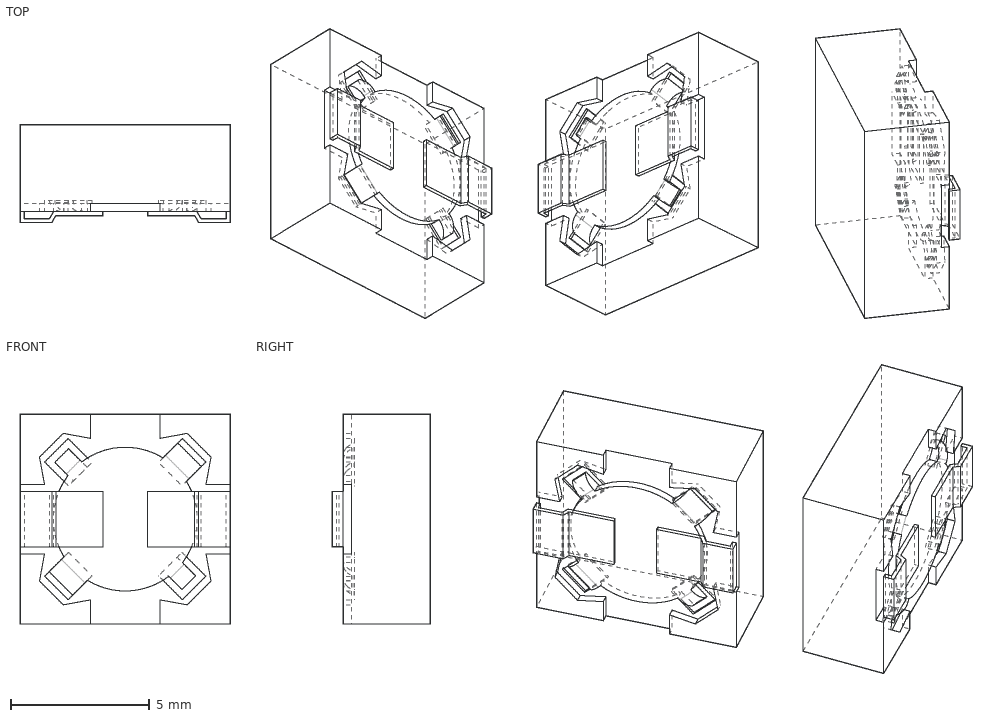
import cadquery as cq
import math


side = 7.6
depth = 3.15
half_side = side / 2
recess_depth = 0.3

channel_half_width = 1.26
channel_inner_end = 2.92
corner_wall_near = 2.24
corner_wall_far = 3.1

disc_radius = 2.6

pit_depth = 0.1
pit_width = 1.2
pit_inner_reach = 2.3
pit_reach = 3.52
lug_flat_reach = 2.66
lug_radius = 0.7
wide_lug_reach = 3.29
narrow_lug_reach = 3.25
wide_lug_width = pit_width
narrow_lug_width = 0.7
wide_lug_angles = (45, 225)
narrow_lug_angles = (135, 315)

strip_thickness = 0.15
strip_width = 2.0
standoff = 0.4
pad_inner_x = 0.81
pad_bend_x = 2.51
bend_angle = math.radians(60)

corner_plane = cq.Plane(origin=(0, 0, 0), xDir=(-1, 0, 0), normal=(0, 1, 0))


def make_recess():
    """Cross-shaped cutter whose inner corners flare out along the diagonals."""
    quarter = [
        (half_side, channel_half_width),
        (channel_inner_end, channel_half_width),
        (corner_wall_far, corner_wall_near),
        (corner_wall_near, corner_wall_far),
        (channel_half_width, channel_inner_end),
        (channel_half_width, half_side),
    ]
    upper = quarter + [(-x, z) for x, z in reversed(quarter)]
    outline = upper + [(-x, -z) for x, z in upper]
    return cq.Workplane(corner_plane).polyline(outline).close().extrude(recess_depth)


def make_pit(angle):
    """Shallow rectangular pit under a lug, at the given angle from +X about the Y axis."""
    return (
        cq.Workplane("XY")
        .box(pit_reach - pit_inner_reach, pit_depth, pit_width, centered=(False, False, True))
        .translate((pit_inner_reach, recess_depth, 0))
        .rotate((0, 0, 0), (0, 1, 0), -angle)
    )


def make_lug(angle, width, reach):
    """Lug running out from the disc, its end rounded over above a low end wall on the pit floor."""
    lug_height = recess_depth + pit_depth
    run = reach - lug_flat_reach
    sweep = math.asin(run / lug_radius)
    arc_middle = (
        lug_flat_reach + lug_radius * math.sin(sweep / 2),
        lug_radius * (1 - math.cos(sweep / 2)),
    )
    arc_end = (reach, lug_radius * (1 - math.cos(sweep)))
    return (
        cq.Workplane("XY")
        .moveTo(pit_inner_reach, 0)
        .lineTo(lug_flat_reach, 0)
        .threePointArc(arc_middle, arc_end)
        .lineTo(reach, lug_height)
        .lineTo(pit_inner_reach, lug_height)
        .close()
        .extrude(width / 2, both=True)
        .rotate((0, 0, 0), (0, 1, 0), -angle)
    )


def make_terminal():
    """Terminal on the +X side: pad on the disc, sloped step, foot, and a short leg at the edge."""
    bend_run = (standoff - strip_thickness) / math.tan(bend_angle)
    bend_shift = strip_thickness * math.tan(bend_angle / 2)
    foot_back = strip_thickness - standoff
    outline = [
        (pad_inner_x, 0),
        (pad_inner_x, -strip_thickness),
        (pad_bend_x, -strip_thickness),
        (pad_bend_x + bend_run, -standoff),
        (half_side, -standoff),
        (half_side, 0),
        (half_side - strip_thickness, 0),
        (half_side - strip_thickness, foot_back),
        (pad_bend_x + bend_run + bend_shift, foot_back),
        (pad_bend_x + bend_shift, 0),
    ]
    return cq.Workplane("XY").polyline(outline).close().extrude(strip_width / 2, both=True)


def make_housing():
    """Square block with the cross-shaped recess and a pit for each lug in its floor."""
    body = cq.Workplane("XY").box(side, depth, side, centered=(True, False, True))
    body = body.cut(make_recess())
    for angle in wide_lug_angles + narrow_lug_angles:
        body = body.cut(make_pit(angle))
    return body


def make_core():
    """Disc on the recess floor with its four lugs and the two terminals on its face."""
    body = cq.Workplane(corner_plane).circle(disc_radius).extrude(recess_depth)
    for angle in wide_lug_angles:
        body = body.union(make_lug(angle, wide_lug_width, wide_lug_reach))
    for angle in narrow_lug_angles:
        body = body.union(make_lug(angle, narrow_lug_width, narrow_lug_reach))
    terminal = make_terminal()
    return body.union(terminal).union(terminal.mirror("YZ"))


housing = make_housing()
core = make_core()

result = cq.Compound.makeCompound([housing.val(), core.val()])